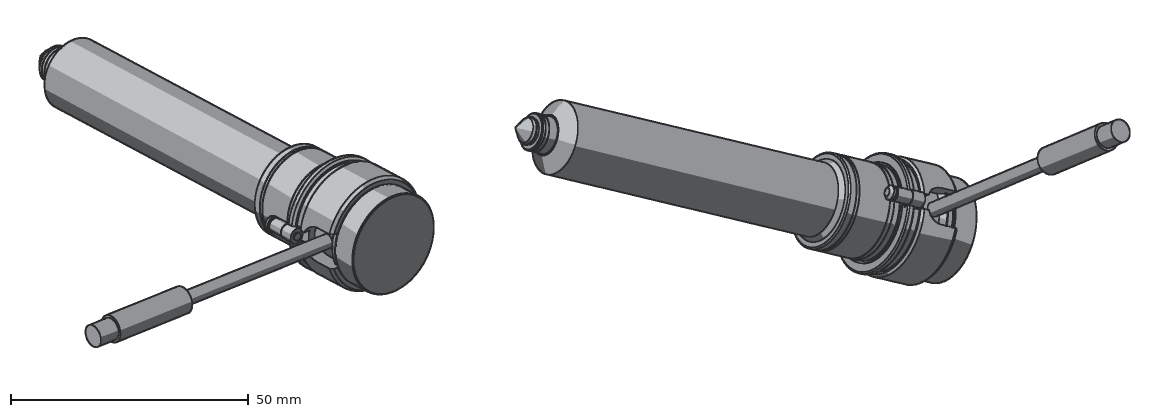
import cadquery as cq

TOTAL_LENGTH = 113.0

POINT_RADIUS = 2.7
TIP_RADIUS = 3.0
TIP_END = 3.5
TIP_NECK_RADIUS = 2.8
STEM_RADIUS = 4.1
STEM_START = 4.2
STEM_CHAMFER = 0.2
STEM_GROOVE_START = 5.1
STEM_GROOVE_WIDTH = 0.9
BARREL_START = 8.1
BARREL_NOSE_RADIUS = 4.4
BARREL_NOSE_END = 10.5
BARREL_RADIUS = 8.0
BARREL_END = 79.0
FLARE_RADIUS = 8.9
COLLAR_START = 80.1
COLLAR_RADIUS = 10.4
COLLAR_CHAMFER = 0.3
COLLAR_GROOVES = [(82.0, 0.8), (90.9, 1.1)]
SURFACE_GROOVE_DEPTH = 0.1
SHANK_RADIUS = 9.6

SLEEVE_START = 93.3
LIP_RADIUS = 10.8
FLANGE_START = 93.8
FLANGE_END = 95.7
SLEEVE_RADIUS = 13.0
SLEEVE_NECK_RADIUS = 12.0
HEAD_START = 97.4
HEAD_END = 107.4
FLANGE_FRONT_CHAMFER = 0.3
EDGE_CHAMFER = 0.6
HEAD_REAR_CHAMFER = 0.8

CAP_START = 104.4
CAP_NOSE_RADIUS = 10.5
CAP_SPIGOT_START = 105.8
CAP_SPIGOT_RADIUS = 10.8
CAP_SHOULDER_START = 107.0
CAP_SHOULDER_RADIUS = 11.2
CAP_RADIUS = 11.4
CAP_EDGE_CHAMFER = 0.2

PIN_RADIUS = 1.6
PIN_HEAD_RADIUS = 1.7
PIN_HEAD_START = 93.7
PIN_GROOVE_START = 89.4
PIN_GROOVE_END = 89.8
PIN_AXIS_Y = -13.0
PIN_START = 88.0
PIN_END = 96.8
PIN_NOSE = 0.7
PIN_TAIL_RADIUS = 0.9
PIN_TAIL_LENGTH = 0.3
SLOT_FLOOR_Y = PIN_AXIS_Y + PIN_HEAD_RADIUS

CABLE_X = 102.8
CABLE_RADIUS = 1.6
CABLE_SOCKET_Y = -7.9
PLUG_START_Y = -50.0
PLUG_RADIUS = 3.0
PLUG_END_Y = -70.0
CONTACT_RADIUS = 2.5
TOTAL_DEPTH = 87.9
CABLE_END_Y = SLEEVE_RADIUS - TOTAL_DEPTH
WINDOW_RADIUS = 4.1


def turned(outline):
    """Solid turned about the X axis from (x, radius) points that start and end on the axis."""
    return cq.Workplane("XY").polyline(outline).close().revolve(360, (0, 0, 0), (1, 0, 0))


def band(start, end, inner_radius, outer_radius):
    """Ring about the X axis."""
    return (
        cq.Workplane("YZ", origin=(start, 0, 0))
        .circle(outer_radius)
        .circle(inner_radius)
        .extrude(end - start)
    )


def cylinder_along_y(radius, start_y, end_y):
    """Round bar at the cable's X that runs from start_y towards -Y."""
    return (
        cq.Workplane("XZ", origin=(CABLE_X, start_y, 0)).circle(radius).extrude(start_y - end_y)
    )


def make_spindle():
    spindle = turned([
        (0, 0),
        (POINT_RADIUS, POINT_RADIUS),
        (TIP_END, TIP_RADIUS),
        (TIP_END, TIP_NECK_RADIUS),
        (STEM_START, TIP_NECK_RADIUS),
        (STEM_START, STEM_RADIUS - STEM_CHAMFER),
        (STEM_START + STEM_CHAMFER, STEM_RADIUS),
        (BARREL_START, STEM_RADIUS),
        (BARREL_START, BARREL_NOSE_RADIUS),
        (BARREL_NOSE_END, BARREL_RADIUS),
        (BARREL_END, BARREL_RADIUS),
        (COLLAR_START, FLARE_RADIUS),
        (COLLAR_START, COLLAR_RADIUS - COLLAR_CHAMFER),
        (COLLAR_START + COLLAR_CHAMFER, COLLAR_RADIUS),
        (SLEEVE_START, COLLAR_RADIUS),
        (SLEEVE_START, SHANK_RADIUS),
        (CAP_START, SHANK_RADIUS),
        (CAP_START, 0),
    ])
    grooves = [(start, width, COLLAR_RADIUS) for start, width in COLLAR_GROOVES]
    grooves.append((STEM_GROOVE_START, STEM_GROOVE_WIDTH, STEM_RADIUS))
    for start, width, radius in grooves:
        floor_radius = radius - SURFACE_GROOVE_DEPTH
        spindle = spindle.cut(band(start, start + width, floor_radius, radius + SURFACE_GROOVE_DEPTH))
    return spindle.cut(make_cable())


def make_cap():
    return turned([
        (CAP_START, 0),
        (CAP_START, SHANK_RADIUS),
        (CAP_SPIGOT_START, CAP_NOSE_RADIUS),
        (CAP_SPIGOT_START, CAP_SPIGOT_RADIUS),
        (CAP_SHOULDER_START, CAP_SPIGOT_RADIUS),
        (CAP_SHOULDER_START, CAP_SHOULDER_RADIUS),
        (HEAD_END, CAP_SHOULDER_RADIUS),
        (HEAD_END, CAP_RADIUS),
        (TOTAL_LENGTH - CAP_EDGE_CHAMFER, CAP_RADIUS),
        (TOTAL_LENGTH, CAP_RADIUS - CAP_EDGE_CHAMFER),
        (TOTAL_LENGTH, 0),
    ])


def make_sleeve():
    blank = turned([
        (SLEEVE_START, 0),
        (SLEEVE_START, LIP_RADIUS),
        (FLANGE_START, LIP_RADIUS),
        (FLANGE_START, SLEEVE_RADIUS - FLANGE_FRONT_CHAMFER),
        (FLANGE_START + FLANGE_FRONT_CHAMFER, SLEEVE_RADIUS),
        (FLANGE_END - EDGE_CHAMFER, SLEEVE_RADIUS),
        (FLANGE_END, SLEEVE_RADIUS - EDGE_CHAMFER),
        (FLANGE_END, SLEEVE_NECK_RADIUS),
        (HEAD_START, SLEEVE_NECK_RADIUS),
        (HEAD_START, SLEEVE_RADIUS - EDGE_CHAMFER),
        (HEAD_START + EDGE_CHAMFER, SLEEVE_RADIUS),
        (HEAD_END - HEAD_REAR_CHAMFER, SLEEVE_RADIUS),
        (HEAD_END, SLEEVE_RADIUS - EDGE_CHAMFER),
        (HEAD_END, 0),
    ])
    bore = (
        cq.Workplane("YZ", origin=(SLEEVE_START, 0, 0))
        .circle(SHANK_RADIUS)
        .extrude(CAP_START - SLEEVE_START)
    )
    return blank.cut(bore).cut(make_cap()).cut(pin_slot()).cut(cable_window())


def pin_slot():
    """Flat-bottomed slot for the pin, from the sleeve's front to the cable window."""
    depth = SLEEVE_RADIUS + SLOT_FLOOR_Y
    length = CABLE_X - SLEEVE_START
    return (
        cq.Workplane("XY", origin=(SLEEVE_START, -SLEEVE_RADIUS, 0))
        .box(length, depth, 2 * PIN_HEAD_RADIUS, centered=(False, False, True))
    )


def cable_window():
    """U-shaped opening through the sleeve's wall, open at its rear end."""
    length = HEAD_END - CABLE_X
    return (
        cq.Workplane("XZ", origin=(CABLE_X, 0, 0))
        .moveTo(length, WINDOW_RADIUS)
        .lineTo(0, WINDOW_RADIUS)
        .threePointArc((-WINDOW_RADIUS, 0), (0, -WINDOW_RADIUS))
        .lineTo(length, -WINDOW_RADIUS)
        .close()
        .extrude(SLEEVE_RADIUS)
    )


def make_pin():
    return turned([
        (PIN_START, 0),
        (PIN_START, PIN_RADIUS - PIN_NOSE),
        (PIN_START + PIN_NOSE, PIN_RADIUS),
        (PIN_GROOVE_START, PIN_RADIUS),
        (PIN_GROOVE_START, PIN_RADIUS - SURFACE_GROOVE_DEPTH),
        (PIN_GROOVE_END, PIN_RADIUS - SURFACE_GROOVE_DEPTH),
        (PIN_GROOVE_END, PIN_RADIUS),
        (PIN_HEAD_START, PIN_RADIUS),
        (PIN_HEAD_START, PIN_HEAD_RADIUS),
        (PIN_END, PIN_HEAD_RADIUS),
        (PIN_END, PIN_TAIL_RADIUS),
        (PIN_END + PIN_TAIL_LENGTH, PIN_TAIL_RADIUS),
        (PIN_END + PIN_TAIL_LENGTH, 0),
    ]).translate((0, PIN_AXIS_Y, 0))


def make_cable():
    cord = cylinder_along_y(CABLE_RADIUS, CABLE_SOCKET_Y, PLUG_START_Y)
    plug = cylinder_along_y(PLUG_RADIUS, PLUG_START_Y, PLUG_END_Y)
    contact = cylinder_along_y(CONTACT_RADIUS, PLUG_END_Y, CABLE_END_Y)
    return cord.union(plug).union(contact)


spindle = make_spindle()
sleeve = make_sleeve()
cap = make_cap()
pin = make_pin()
cable = make_cable()

result = cq.Compound.makeCompound([
    spindle.val(),
    sleeve.val(),
    cap.val(),
    pin.val(),
    cable.val(),
])